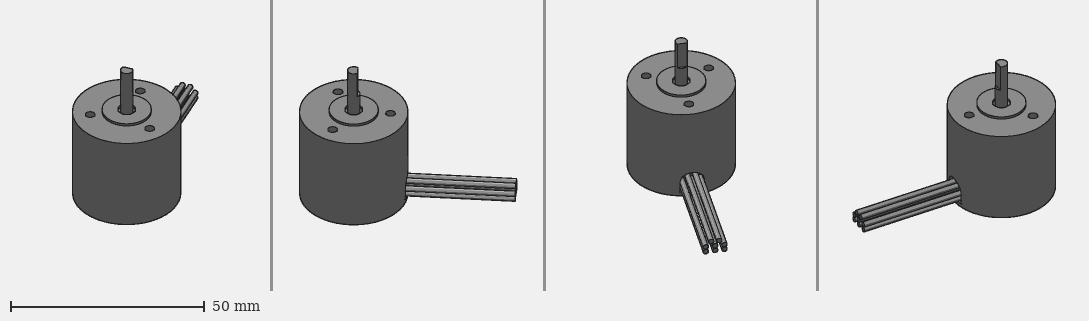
import cadquery as cq

body_diameter = 28.0
body_height = 26.0
body_radius = body_diameter / 2

pilot_diameter = 12.7
pilot_height = 0.7
pilot_top = body_height + pilot_height
bore_diameter = 4.6
bore_depth = 0.7

shaft_diameter = 3.2
shaft_top = 39.2
flat_length = 7.5
flat_offset = 1.0

mount_hole_diameter = 2.45
mount_hole_depth = 4.5
mount_circle_radius = 9.5
mount_hole_count = 3
first_hole_angle = 90.0

window_bottom = 1.0
window_top = 7.3
window_radius = 3.25
window_depth = 2.25

wire_diameter = 1.4
wire_end = 42.0
wire_embed = 0.55
bottom_row_height = 2.45
row_pitch = 1.5
wide_spacing = 2.45
top_row_offset = 1.05
wide_row = (-wide_spacing, 0, wide_spacing)
wire_rows = (wide_row, wide_row, (-top_row_offset, top_row_offset))


def make_housing():
    can = cq.Workplane("XY").circle(body_radius).extrude(body_height)
    pilot = cq.Workplane("XY", origin=(0, 0, body_height)).circle(pilot_diameter / 2).extrude(pilot_height)
    bore = cq.Workplane("XY", origin=(0, 0, pilot_top)).circle(bore_diameter / 2).extrude(-bore_depth)
    return can.union(pilot).cut(bore)


def make_mount_holes():
    return (
        cq.Workplane("XY", origin=(0, 0, body_height))
        .polarArray(mount_circle_radius, first_hole_angle, 360, mount_hole_count)
        .circle(mount_hole_diameter / 2)
        .extrude(-mount_hole_depth)
    )


def make_window():
    """Flat-bottomed opening with a semicircular top."""
    spring_line = window_top - window_radius
    return (
        cq.Workplane("XZ", origin=(0, body_radius, 0))
        .moveTo(-window_radius, window_bottom)
        .lineTo(window_radius, window_bottom)
        .lineTo(window_radius, spring_line)
        .threePointArc((0, window_top), (-window_radius, spring_line))
        .close()
        .extrude(window_depth)
    )


def make_shaft():
    shaft_bottom = pilot_top - bore_depth
    shaft = (
        cq.Workplane("XY", origin=(0, 0, shaft_bottom))
        .circle(shaft_diameter / 2)
        .extrude(shaft_top - shaft_bottom)
    )
    beyond_flat = (
        cq.Workplane("XY", origin=(0, flat_offset, shaft_top - flat_length))
        .rect(shaft_diameter, shaft_diameter)
        .extrude(flat_length)
        .translate((0, shaft_diameter / 2, 0))
    )
    return shaft.cut(beyond_flat)


def make_wires():
    """Wires run from just inside the window floor to the free cable end."""
    wire_start = body_radius - window_depth - wire_embed
    centres = [
        (x, bottom_row_height + row * row_pitch)
        for row, offsets in enumerate(wire_rows)
        for x in offsets
    ]
    return (
        cq.Workplane("XZ", origin=(0, wire_start, 0))
        .pushPoints(centres)
        .circle(wire_diameter / 2)
        .extrude(wire_start - wire_end)
    )


housing = make_housing().cut(make_mount_holes()).cut(make_window())
result = housing.union(make_shaft()).union(make_wires())